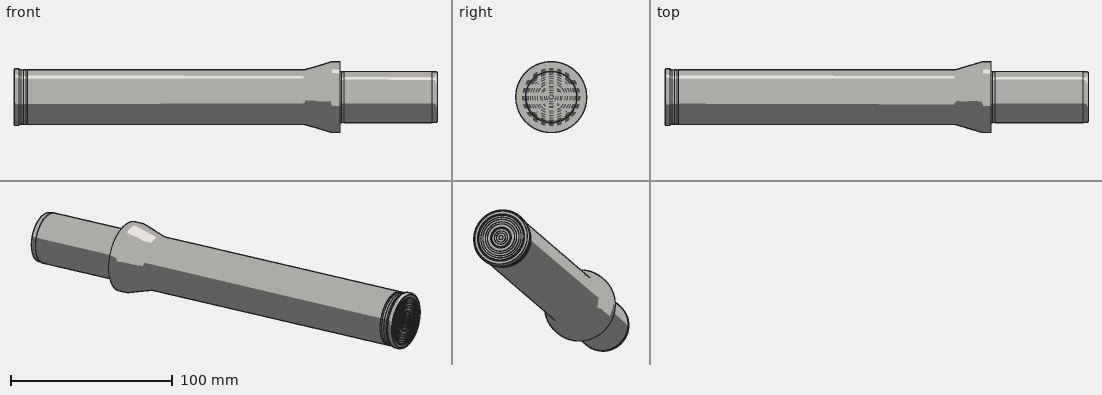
import cadquery as cq

total_length = 262.0
cap_length = 3.1
cone_start = 179.7
cone_end = 196.5
collar_end = 201.7

grip_radius = 34.0 / 2
cap_radius = 35.5 / 2
collar_radius = 44.0 / 2
end_fillet = 1.3
cone_fillet = 2.5

grip_grooves = [(4.5, 1.5, 0.13), (7.5, 1.0, 0.13)]

face_groove_depth = 0.5
face_grooves = [(1.3, 3.0), (4.2, 5.8), (6.5, 8.6), (10.0, 11.5), (12.8, 14.1), (15.0, 16.8)]

rod_radius = 32.0 / 2
journal_radius = 31.5 / 2
flange_length = 0.8
neck_length = 2.4
tip_length = 3.7


def cylinder(start, length, radius):
    """Solid cylinder along X."""
    return cq.Workplane("YZ", origin=(start, 0, 0)).circle(radius).extrude(length)


def ring(start, length, inner_radius, outer_radius):
    """Hollow cylinder along X."""
    return cq.Workplane("YZ", origin=(start, 0, 0)).circle(outer_radius).circle(inner_radius).extrude(length)


def turned_groove(start, width, surface_radius, depth):
    """Cutter for a groove around a cylindrical surface."""
    return ring(start, width, surface_radius - depth, surface_radius + depth)


def edge_ring_at(body, position):
    """Circular edges of the body in a thin slab around an X position."""
    tolerance = 0.3
    low_corner = (position - tolerance, -collar_radius, -collar_radius)
    high_corner = (position + tolerance, collar_radius, collar_radius)
    return body.edges("%CIRCLE").edges(cq.selectors.BoxSelector(low_corner, high_corner))


def make_grip():
    profile = [
        (0, 0),
        (0, cap_radius),
        (cap_length, cap_radius),
        (cap_length, grip_radius),
        (cone_start, grip_radius),
        (cone_end, collar_radius),
        (collar_end, collar_radius),
        (collar_end, 0),
    ]
    grip = cq.Workplane("XY").polyline(profile).close().revolve(360, (0, 0, 0), (1, 0, 0))
    grip = grip.faces("<X").edges().fillet(end_fillet)
    for position in (cone_start, cone_end):
        grip = edge_ring_at(grip, position).fillet(cone_fillet)

    for inner_radius, outer_radius in face_grooves:
        grip = grip.cut(ring(0, face_groove_depth, inner_radius, outer_radius))

    for start, width, depth in grip_grooves:
        grip = grip.cut(turned_groove(start, width, grip_radius, depth))
    return grip


def make_rod():
    barrel_start = collar_end + neck_length
    tip_start = total_length - tip_length

    rod = cylinder(collar_end, total_length - collar_end, journal_radius)
    rod = rod.faces(">X").edges().fillet(end_fillet)
    rod = rod.union(cylinder(collar_end, flange_length, rod_radius))
    return rod.union(cylinder(barrel_start, tip_start - barrel_start, rod_radius))


grip = make_grip()
rod = make_rod()

result = cq.Compound.makeCompound([grip.val(), rod.val()])